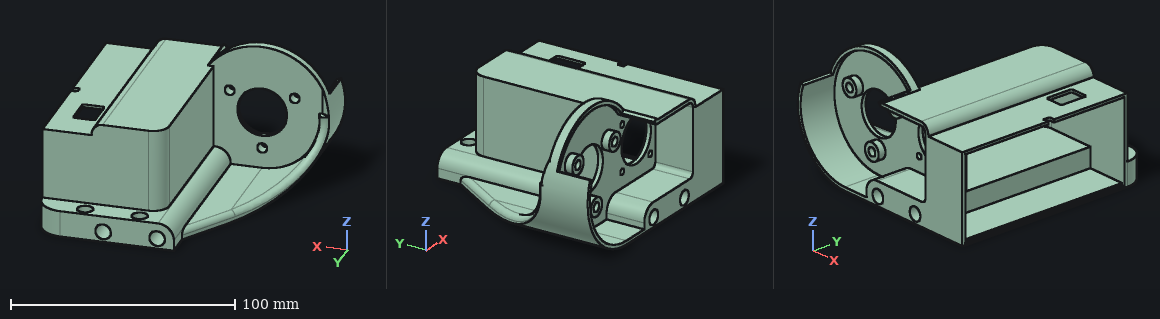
import cadquery as cq
import math

depth = 110.0
disc_radius = 32.0
box_right = 79.59
wall = 2.0
base_z = -disc_radius
rim_inner_radius = disc_radius - wall

plate_front = 20.0
plate_back = 22.5
rim_cut_depth = 17.5
rim_open_start = 40.0
rim_open_end = 160.0
shaft_hole_dia = 23.0
boss_dia = 9.3
boss_hole_dia = 4.5
boss_circle_radius = 17.5
boss_height = 4.0
boss_angles = (30.0, 150.0, 270.0)

port_x = 39.0
port_dia = 24.0
port_screw_spacing = 23.1
port_screw_dia = 3.0

foot_left = 14.6
foot_top = -19.5
foot_round = 7.4
foot_corner_radius = 12.0
foot_hole_dia = 7.2
lengthwise_hole_xs = (22.4, 47.6)
lengthwise_hole_z = -27.0
upright_hole_xs = (32.2, 57.6)
upright_hole_y = 104.5

tunnel_left = 22.6
tunnel_right = 56.6
tunnel_top = 19.6
tunnel_back = 98.0
tunnel_back_radius = 7.5
tunnel_top_radius = 5.1
tunnel_floor_radius = 2.5

box_top = 14.0
box_top_thickness = 1.5
window_x = 60.0
window_y = 67.0
window_width = 10.1
window_length = 15.0
window_radius = 1.0
notch_depth = 3.1
notch_y = 51.0
notch_length = 3.4
notch_radius = 0.8
ledge_width = 1.5
ledge_depth = 1.0

guard_thickness = 4.85
guard_round = 2.6
guard_end_z = 3.0
guard_top = 16.0
slant_start_y = 24.9
slant_end_y = 97.5


def block(x0, x1, y0, y1, z0, z1):
    return cq.Workplane("XY").box(x1 - x0, y1 - y0, z1 - z0, centered=False).translate((x0, y0, z0))


def rod(x, z, diameter, y0, y1):
    """Cylinder along Y."""
    return cq.Workplane("XZ", origin=(x, y0, z)).circle(diameter / 2).extrude(y0 - y1)


def polar(radius, angle):
    turn = math.radians(angle)
    return radius * math.cos(turn), radius * math.sin(turn)


def make_foot():
    foot = block(foot_left, box_right, 0, depth, base_z, foot_top)
    foot = foot.edges("|Y and >Z and <X").fillet(foot_round)
    return foot.edges("|Z and >X and >Y").fillet(foot_corner_radius)


def make_tunnel_shell():
    shell = block(tunnel_left, tunnel_right, plate_front, tunnel_back, base_z, tunnel_top)
    shell = shell.edges("|Y and >Z and >X").fillet(tunnel_top_radius)
    return shell.edges("|Z and <X and >Y").fillet(tunnel_back_radius)


def make_tunnel_room():
    """Hollow of the tunnel behind the motor plate, open to the side box below its roof."""
    back = tunnel_back - wall
    room = block(tunnel_left + wall, tunnel_right - wall, plate_back, back, foot_top, tunnel_top - wall)
    room = room.edges("|Y and >Z and >X").fillet(tunnel_top_radius - wall)
    room = room.edges("|Z and <X and >Y").fillet(tunnel_back_radius - wall)
    passage = block(tunnel_right - wall, tunnel_right, plate_back, back, foot_top, box_top - box_top_thickness)
    return room.union(passage)


def make_front_body():
    lid = block(0, tunnel_right, 0, plate_back, base_z, tunnel_top)
    lid = lid.edges("|Y and >Z and >X").fillet(tunnel_top_radius)
    return rod(0, 0, 2 * disc_radius, 0, plate_back).union(lid)


def make_front_room():
    """Hollow in front of the motor plate."""
    side = block(0, tunnel_right - wall, 0, plate_front, foot_top, tunnel_top - wall)
    side = side.edges("|Y and >Z and >X").fillet(tunnel_top_radius - wall)
    side = side.edges("|Y and <Z and >X").fillet(tunnel_floor_radius)
    corner = block(0, foot_left + foot_round, 0, plate_front, base_z + wall, 0)
    room = rod(0, 0, 2 * rim_inner_radius, 0, plate_front).union(side).union(corner)
    return room.cut(make_foot())


def make_rim_opening():
    """Sector that removes the upper rim in front of the motor plate."""
    inner = rim_inner_radius - wall
    outer = disc_radius + wall
    middle = (rim_open_start + rim_open_end) / 2
    return (
        cq.Workplane("XZ")
        .moveTo(*polar(inner, rim_open_start))
        .lineTo(*polar(outer, rim_open_start))
        .threePointArc(polar(outer, middle), polar(outer, rim_open_end))
        .lineTo(*polar(inner, rim_open_end))
        .threePointArc(polar(inner, middle), polar(inner, rim_open_start))
        .close()
        .extrude(-rim_cut_depth)
    )


def make_guard_shell():
    """Lower left rim continued backwards along Y, flat from x = 0 to the foot."""
    flat_right = foot_left + foot_round
    inner_radius = disc_radius - guard_thickness
    ring = rod(0, 0, 2 * disc_radius, plate_front, depth)
    ring = ring.cut(rod(0, 0, 2 * inner_radius, plate_front, depth))
    ring = ring.intersect(block(-disc_radius, 0, 0, depth, base_z, guard_top))
    return ring.union(block(0, flat_right, plate_front, depth, base_z, base_z + guard_thickness))


def place_on_slant(tool):
    """Move a tool so that its X axis runs along the slant from its start, at the outer rim."""
    angle = math.degrees(math.atan2(slant_end_y - slant_start_y, foot_left + disc_radius))
    return tool.rotate((0, 0, 0), (0, 0, 1), angle).translate((-disc_radius, slant_start_y, 0))


def make_guard():
    beyond_slant = place_on_slant(block(-depth, 2 * depth, 0, depth, base_z, guard_top))
    upper_end = place_on_slant(block(0, depth, -depth, depth, guard_end_z, guard_top))
    guard = make_guard_shell().cut(beyond_slant)
    slope = (slant_end_y - slant_start_y) / (foot_left + disc_radius)
    flat_middle_x = (foot_left + foot_round) / 2
    flat_middle_y = slant_start_y + slope * (flat_middle_x + disc_radius)
    inner_edge = cq.selectors.NearestToPointSelector((flat_middle_x, flat_middle_y, base_z + guard_thickness))
    return guard.edges(inner_edge).fillet(guard_round).cut(upper_end)


def make_side_box():
    return block(tunnel_right - wall, box_right, 0, tunnel_back, base_z, box_top)


def make_box_cuts():
    floor_z = base_z + wall
    roof_z = box_top - box_top_thickness
    back = tunnel_back - wall
    room = block(tunnel_right, box_right, wall, back, floor_z, roof_z)
    ledge = block(box_right - ledge_width, box_right, wall, back, floor_z - ledge_depth, floor_z)
    window = block(window_x, window_x + window_width, window_y, window_y + window_length, roof_z, box_top)
    window = window.edges("|Z").fillet(window_radius)
    notch = block(box_right - notch_depth, box_right, notch_y, notch_y + notch_length, roof_z, box_top)
    notch = notch.edges("|Z and <X and >Y").fillet(notch_radius)
    return room.union(ledge).union(window).union(notch)


def add_motor_mount(body):
    centers = [polar(boss_circle_radius, angle) for angle in boss_angles]
    for x, z in centers:
        body = body.union(rod(x, z, boss_dia, plate_front - boss_height, plate_back))
    for x, z in centers:
        body = body.cut(rod(x, z, boss_hole_dia, 0, plate_back))
    return body.cut(rod(0, 0, shaft_hole_dia, 0, plate_back))


def add_port(body):
    body = body.cut(rod(port_x, 0, port_dia, plate_front, plate_back))
    half = port_screw_spacing / 2
    for x in (port_x - half, port_x + half):
        for z in (-half, half):
            body = body.cut(rod(x, z, port_screw_dia, plate_front, plate_back))
    return body


def drill_foot(body):
    for x in lengthwise_hole_xs:
        body = body.cut(rod(x, lengthwise_hole_z, foot_hole_dia, 0, depth))
    for x in upright_hole_xs:
        hole = cq.Workplane("XY", origin=(x, upright_hole_y, base_z))
        body = body.cut(hole.circle(foot_hole_dia / 2).extrude(foot_top - base_z))
    return body


body = make_front_body().union(make_tunnel_shell()).union(make_side_box())
body = body.union(make_foot()).union(make_guard())
body = body.cut(make_front_room()).cut(make_tunnel_room())
body = body.cut(make_rim_opening()).cut(make_box_cuts())
result = drill_foot(add_port(add_motor_mount(body)))